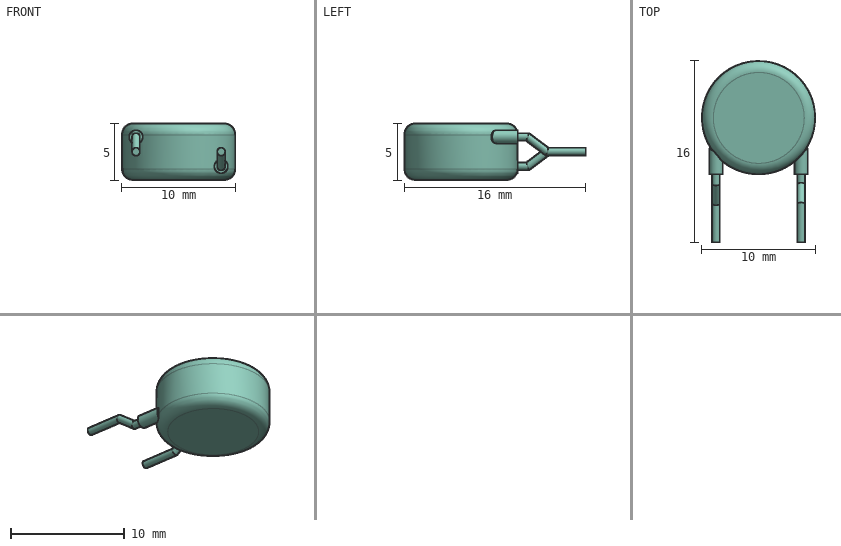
import cadquery as cq

disc_diameter = 10.0
disc_radius = disc_diameter / 2
disc_height = disc_diameter / 2
rim_radius = 1.0

lead_spacing = 7.5
exit_offset = 1.3
mid_height = disc_height / 2
lead_exits = [
    (-lead_spacing / 2, mid_height + exit_offset),
    (lead_spacing / 2, mid_height - exit_offset),
]

sleeve_diameter = 1.2
sleeve_end = -disc_radius
sleeve_bend = -3.0
sleeve_run_in = 1.28

wire_diameter = 0.7
bore_depth = sleeve_bend - sleeve_end
overall_length = 16.0
straight_length = 0.86
slant_travel = 1.73
first_bend = sleeve_end - straight_length
second_bend = first_bend - slant_travel
wire_tip = disc_radius - overall_length


def make_sleeve(x, z):
    """Round sleeve around one lead exit, with a mitred bend into the disc."""
    inward = sleeve_run_in if x < 0 else -sleeve_run_in
    path = (
        cq.Workplane("XY", origin=(0, 0, z))
        .moveTo(x, sleeve_end)
        .lineTo(x, sleeve_bend)
        .lineTo(x + inward, sleeve_bend + sleeve_run_in)
    )
    section = cq.Workplane("XZ", origin=(x, sleeve_end, z)).circle(sleeve_diameter / 2)
    return section.sweep(path, transition="right")


def make_wire(x, z):
    """Round wire from the sleeve bend to the tip, with two mitred bends."""
    path = (
        cq.Workplane("YZ", origin=(x, 0, 0))
        .moveTo(sleeve_bend, z)
        .lineTo(first_bend, z)
        .lineTo(second_bend, mid_height)
        .lineTo(wire_tip, mid_height)
    )
    section = cq.Workplane("XZ", origin=(x, sleeve_bend, z)).circle(wire_diameter / 2)
    return section.sweep(path, transition="right")


def make_housing():
    """Disc with rounded rims and two sleeves, bored to seat the wires."""
    housing = cq.Workplane("XY").circle(disc_radius).extrude(disc_height).edges().fillet(rim_radius)
    for x, z in lead_exits:
        bore = cq.Workplane("XZ", origin=(x, sleeve_bend, z)).circle(wire_diameter / 2).extrude(bore_depth)
        housing = housing.union(make_sleeve(x, z)).cut(bore)
    return housing


housing = make_housing()
wires = [make_wire(x, z) for x, z in lead_exits]

result = cq.Compound.makeCompound([housing.solids().val(), *[wire.val() for wire in wires]])